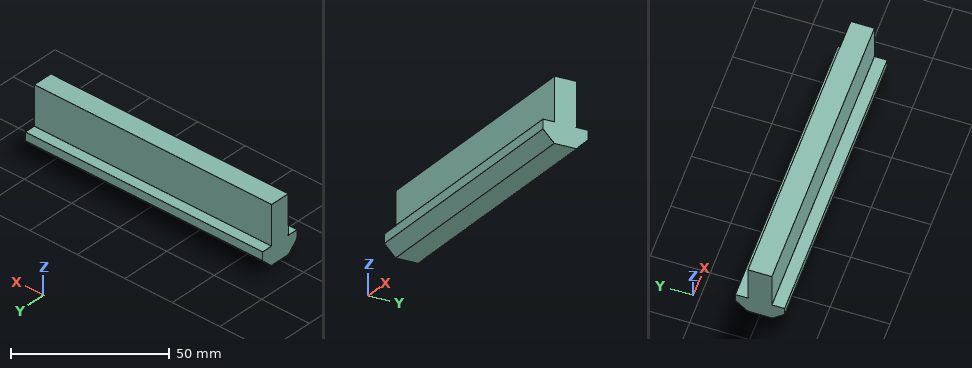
import cadquery as cq

length = 100.0
total_height = 23.5
head_width = 16.5
head_height = 7.5
stem_width = 8.0
bevel = 4.085


def t_bar_half_profile():
    """Half (+Y side) of the T section in the YZ plane, bottom to top."""
    half_stem = stem_width / 2
    half_head = head_width / 2
    return [
        (0, 0),
        (half_head - bevel, 0),
        (half_head, bevel),
        (half_head, head_height),
        (half_stem, head_height),
        (half_stem, total_height),
        (0, total_height),
    ]


result = (
    cq.Workplane("YZ")
    .polyline(t_bar_half_profile())
    .mirrorY()
    .extrude(length / 2, both=True)
)